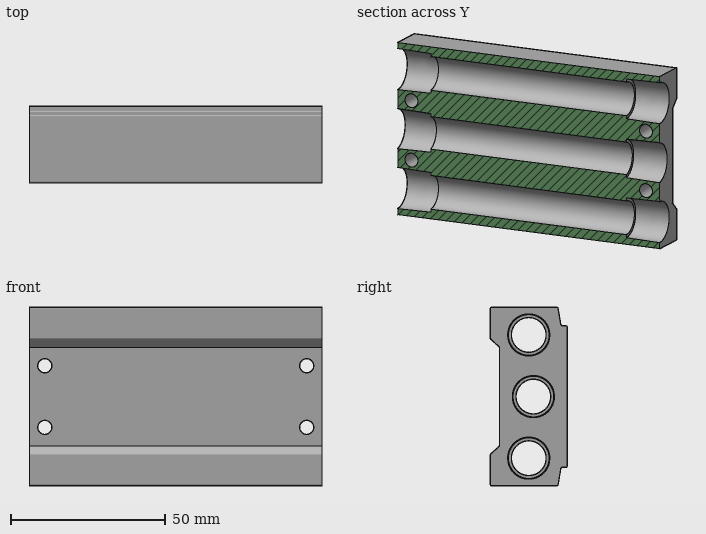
import cadquery as cq

length = 95.0
depth = 25.0
height = 58.0

channel_depth = 3.0
channel_floor_height = 32.0
channel_mouth_height = 37.5

pad_height = 46.0
step_depth = 2.0
shoulder_setback = 3.0

corner_radius = 0.5

bore_diameter = 11.2
port_mouth_diameter = 13.7
port_inner_diameter = 13.2
port_depth = 12.0
bore_pitch = 20.0
outer_bore_y = 0.0
middle_bore_y = 1.5

mount_hole_diameter = 4.5
mount_pitch_x = 85.0
mount_pitch_z = 20.0

front_y = -depth / 2
back_y = depth / 2


def make_body():
    """Extrude the YZ profile, symmetric about Z = 0, along X and round its edges."""
    upper_half = [
        (back_y, pad_height / 2),
        (back_y - step_depth, pad_height / 2),
        (back_y - shoulder_setback, height / 2),
        (front_y, height / 2),
        (front_y, channel_mouth_height / 2),
        (front_y + channel_depth, channel_floor_height / 2),
    ]
    lower_half = [(y, -z) for y, z in reversed(upper_half)]
    body = cq.Workplane("YZ").polyline(upper_half + lower_half).close().extrude(length / 2, both=True)
    middle_of_flank = (channel_floor_height + channel_mouth_height) / 4
    rounded_edges = body.edges("|X").filter(lambda edge: abs(edge.Center().z) > middle_of_flank)
    return rounded_edges.fillet(corner_radius)


def make_bore(y, z):
    """Through bore along X with a tapered port at both ends."""
    half_length = length / 2
    shoulder_x = half_length - port_depth
    profile = [
        (-half_length, 0),
        (-half_length, port_mouth_diameter / 2),
        (-shoulder_x, port_inner_diameter / 2),
        (-shoulder_x, bore_diameter / 2),
        (shoulder_x, bore_diameter / 2),
        (shoulder_x, port_inner_diameter / 2),
        (half_length, port_mouth_diameter / 2),
        (half_length, 0),
    ]
    bore = cq.Workplane("XZ").polyline(profile).close().revolve(360, (0, 0, 0), (1, 0, 0))
    return bore.translate((0, y, z))


def make_mount_holes():
    """Four holes through the block along Y."""
    return (
        cq.Workplane("XZ")
        .rarray(mount_pitch_x, mount_pitch_z, 2, 2)
        .circle(mount_hole_diameter / 2)
        .extrude(depth / 2, both=True)
    )


result = make_body()
result = result.cut(make_bore(outer_bore_y, bore_pitch))
result = result.cut(make_bore(middle_bore_y, 0))
result = result.cut(make_bore(outer_bore_y, -bore_pitch))
result = result.cut(make_mount_holes())